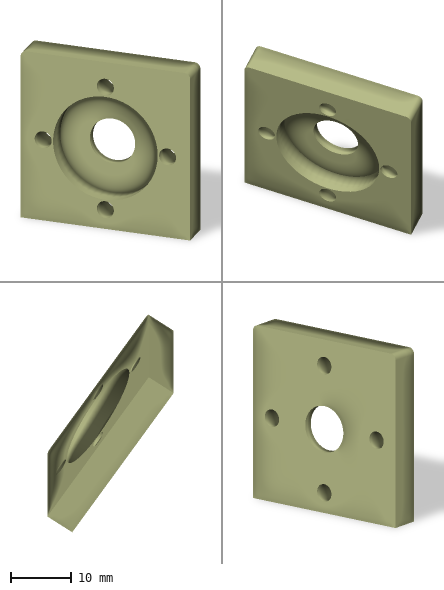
import cadquery as cq

side = 30.0
thickness = 5.0
top_corner_radius = 1.0

bore_height = 14.5
bore_diameter = 8.0
pocket_diameter = 18.5
pocket_depth = 3.5

screw_hole_diameter = 3.0
screw_circle_radius = 11.0
screw_hole_count = 4


def make_plate():
    """Square plate with its two upper corners rounded."""
    plate = cq.Workplane("XY").box(side, thickness, side, centered=(True, False, False))
    return plate.edges("|Y and >Z").fillet(top_corner_radius)


def bore_plane():
    """Workplane on the front face, centred on the bore and pointing into the plate."""
    return cq.Workplane(cq.Plane(origin=(0, 0, bore_height), xDir=(1, 0, 0), normal=(0, 1, 0)))


bore = bore_plane().circle(bore_diameter / 2).extrude(thickness)
pocket = bore_plane().circle(pocket_diameter / 2).extrude(pocket_depth)
screw_holes = (
    bore_plane()
    .polarArray(screw_circle_radius, 0, 360, screw_hole_count)
    .circle(screw_hole_diameter / 2)
    .extrude(thickness)
)

result = make_plate().cut(bore).cut(pocket).cut(screw_holes)